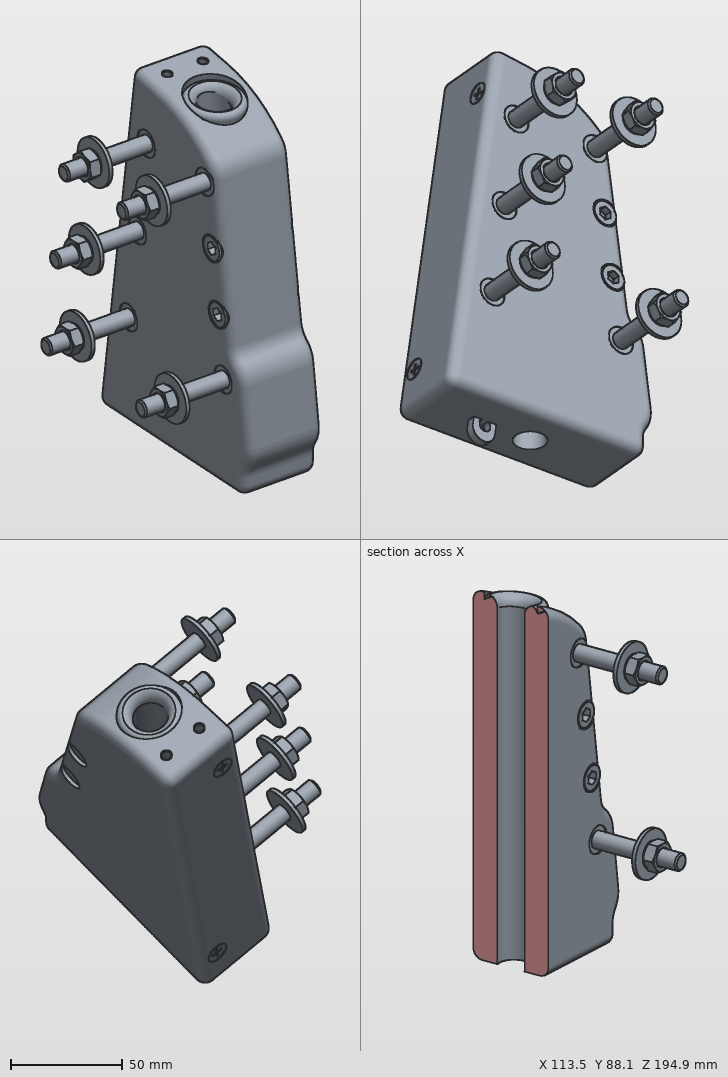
import cadquery as cq
import math

LEAN = 8.0
DEPTH = 41.9
MID_Y = DEPTH / 2
EDGE_RADIUS = 5.0

LEFT_FOOT_X = -0.8
RIGHT_FOOT_X = 109.0
UPPER_WALL_FOOT_X = 110.5
CROWN_START = (43.2, 182.0)
CROWN_RADIUS = 75.0
SHOULDER_RADIUS = 13.6
BULGE_RADIUS = 15.0
BLEND_RADIUS = 10.0
LOWER_BULGE_CENTER = (98.5, 24.2)

BOLT_OFFSET = 16.2
BOLT_BOTTOM_Z = 54.7
BOLT_PITCH = 47.5
BOLT_TOP_Z = BOLT_BOTTOM_Z + 2 * BOLT_PITCH
UPPER_RIGHT_BOLT_X = 80.3
LOWER_RIGHT_BOLT_X = 94.5
BOLT_DIAMETER = 8.4
BOLT_REACH = 46.2
BOLT_ROOT = 5.0
BOLT_TIP_CHAMFER = 0.8
BOLT_RECESS_DIAMETER = 13.5
BOLT_RECESS_DEPTH = 0.5
WASHER_DIAMETER = 24.0
WASHER_FRONT = 29.5
WASHER_THICKNESS = 2.0
NUT_FLATS = 13.0
NUT_HEIGHT = 6.5
NUT_SEAT_HEIGHT = 0.5
NUT_BORE_DIAMETER = 9.4
NUT_BORE_DEPTH = 0.5
TURNED_NUT_ANGLE = 40.0

SOCKET_SCREWS = [(85.7, 118.0), (90.2, 86.1)]
SOCKET_HEAD_DIAMETER = 13.5
SOCKET_HEAD_LENGTH = 7.8
SOCKET_HEAD_CHAMFER = 0.8
SOCKET_FLATS = 5.8
SOCKET_DEPTH = 3.9
SCREW_END_DEPTH = 2.0

CROSS_SCREWS = [(10.5, 163.2, 10.0), (31.5, 22.4, 0.0)]
CROSS_HEAD_DIAMETER = 10.5
CROSS_HEAD_RECESS = 0.4
CROSS_LENGTH = 5.5
CROSS_WIDTH = 1.0
CROSS_DEPTH = 2.0

TOP_HOLE_X = 37.5
TOP_HOLE_SPACING = 19.9
TOP_HOLE_DIAMETER = 4.0
TOP_HOLE_MOUTH = 5.0
TOP_HOLE_DEPTH = 9.7

COLLAR_X = 60.2
COLLAR_Z = 177.7
COLLAR_DIAMETER = 30.0
RIM_DIAMETER = 24.0
COLLAR_SEAT = 11.7
FUNNEL_DEPTH = 5.8
PASSAGE_X = 59.2
PASSAGE_DIAMETER = 15.8

TAB_CENTER = (32.0, -4.9)
TAB_WIDTH = 12.3
TAB_THICKNESS = 4.3
TAB_ROOT = 9.7
TAB_HOLE_CENTER = (32.5, -2.5)
TAB_HOLE_DIAMETER = 6.0

SIN = math.sin(math.radians(LEAN))
COS = math.cos(math.radians(LEAN))
TAN = SIN / COS


def left_wall_x(z):
    return LEFT_FOOT_X + z * TAN


def polar(center, radius, degrees):
    angle = math.radians(degrees)
    return (center[0] + radius * math.cos(angle), center[1] + radius * math.sin(angle))


def front_cylinder(x, z, diameter, y_front, y_back):
    """Cylinder along Y between two Y positions."""
    length = y_back - y_front
    plane = cq.Plane(origin=(x, y_back, z), xDir=(1, 0, 0), normal=(0, -1, 0))
    return cq.Workplane(plane).circle(diameter / 2).extrude(length)


CROWN_CENTER = (CROWN_START[0] - CROWN_RADIUS * SIN, CROWN_START[1] - CROWN_RADIUS * COS)
CROWN_WALL_DISTANCE = (UPPER_WALL_FOOT_X - CROWN_CENTER[0]) * COS - CROWN_CENTER[1] * SIN
CROWN_END_ANGLE = LEAN + math.degrees(math.acos(CROWN_WALL_DISTANCE / CROWN_RADIUS))
CROWN_END = polar(CROWN_CENTER, CROWN_RADIUS, CROWN_END_ANGLE)


def housing_outline():
    """Closed outline in XZ, counter-clockwise from the lower left corner."""
    lower_bulge = LOWER_BULGE_CENTER
    upper_bulge = (LOWER_RIGHT_BOLT_X, BOLT_BOTTOM_Z)
    reach = BULGE_RADIUS + BLEND_RADIUS

    lower_blend_x = RIGHT_FOOT_X + BLEND_RADIUS
    lower_turn = math.degrees(math.acos((lower_blend_x - lower_bulge[0]) / reach))
    lower_blend = polar(lower_bulge, reach, -lower_turn)

    wall_distance = (UPPER_WALL_FOOT_X - upper_bulge[0]) * COS - upper_bulge[1] * SIN
    upper_turn = math.degrees(math.acos((wall_distance + BLEND_RADIUS) / reach))
    upper_blend = polar(upper_bulge, reach, LEAN + upper_turn)

    crown_mid_angle = (90 - LEAN + CROWN_END_ANGLE) / 2

    corner_z = (CROWN_START[1] + (CROWN_START[0] - LEFT_FOOT_X) * TAN) / (1 + TAN * TAN)

    return (
        cq.Workplane("XZ")
        .moveTo(LEFT_FOOT_X, 0)
        .lineTo(RIGHT_FOOT_X, 0)
        .lineTo(RIGHT_FOOT_X, lower_blend[1])
        .threePointArc(
            polar(lower_blend, BLEND_RADIUS, 180 - lower_turn / 2),
            polar(lower_blend, BLEND_RADIUS, 180 - lower_turn),
        )
        .threePointArc(
            polar(lower_bulge, BULGE_RADIUS, 0),
            polar(lower_bulge, BULGE_RADIUS, LEAN),
        )
        .lineTo(*polar(upper_bulge, BULGE_RADIUS, LEAN))
        .threePointArc(
            polar(upper_bulge, BULGE_RADIUS, LEAN + upper_turn / 2),
            polar(upper_bulge, BULGE_RADIUS, LEAN + upper_turn),
        )
        .threePointArc(
            polar(upper_blend, BLEND_RADIUS, 180 + LEAN + upper_turn / 2),
            polar(upper_blend, BLEND_RADIUS, 180 + LEAN),
        )
        .lineTo(*CROWN_END)
        .threePointArc(polar(CROWN_CENTER, CROWN_RADIUS, crown_mid_angle), CROWN_START)
        .lineTo(left_wall_x(corner_z), corner_z)
        .close()
    )


def make_housing():
    body = housing_outline().extrude(-DEPTH)
    shoulder = cq.NearestToPointSelector((CROWN_END[0], MID_Y, CROWN_END[1]))
    body = body.edges("|Y").edges(shoulder).fillet(SHOULDER_RADIUS)
    body = body.edges("|Y").edges("<Z or <X or >Z").fillet(EDGE_RADIUS)
    return body.faces("<Y or >Y").edges().fillet(EDGE_RADIUS)


def make_nut(x, z, turn):
    """Hexagon nut on a round seat, with its corners chamfered at both ends."""
    tip = -WASHER_FRONT - NUT_HEIGHT
    corners = NUT_FLATS / math.cos(math.pi / 6)
    corner_cut = (corners - NUT_FLATS) / 2
    seat = front_cylinder(x, z, NUT_FLATS, -WASHER_FRONT - NUT_SEAT_HEIGHT, -WASHER_FRONT)
    rounded = front_cylinder(x, z, corners, tip, -WASHER_FRONT - NUT_SEAT_HEIGHT)
    rounded = rounded.edges().chamfer(corner_cut / 2, corner_cut)
    plane = cq.Plane(origin=(x, -WASHER_FRONT, z), xDir=(1, 0, 0), normal=(0, -1, 0))
    hexagon = cq.Workplane(plane).transformed(rotate=(0, 0, turn)).polygon(6, corners)
    hexagon = hexagon.extrude(NUT_HEIGHT)
    bore = front_cylinder(x, z, NUT_BORE_DIAMETER, tip, tip + NUT_BORE_DEPTH)
    return hexagon.intersect(rounded).union(seat).cut(bore)


def add_bolt(body, x, z, turn):
    body = body.cut(front_cylinder(x, z, BOLT_RECESS_DIAMETER, 0, BOLT_RECESS_DEPTH))
    shank = front_cylinder(x, z, BOLT_DIAMETER, -BOLT_REACH, BOLT_ROOT)
    shank = shank.faces("<Y").chamfer(BOLT_TIP_CHAMFER)
    washer = front_cylinder(x, z, WASHER_DIAMETER, -WASHER_FRONT, WASHER_THICKNESS - WASHER_FRONT)
    return body.union(make_nut(x, z, turn).union(washer).union(shank))


def add_socket_screw(body, x, z):
    """Flush screw head with a chamfered rim and a hexagon socket that ends in a drill point."""
    clearance = front_cylinder(x, z, SOCKET_HEAD_DIAMETER, 0, SOCKET_HEAD_CHAMFER)
    head = front_cylinder(x, z, SOCKET_HEAD_DIAMETER, 0, SOCKET_HEAD_LENGTH)
    head = head.faces("<Y").chamfer(SOCKET_HEAD_CHAMFER)
    plane = cq.Plane(origin=(x, 0, z), xDir=(0, 0, 1), normal=(0, 1, 0))
    corners = SOCKET_FLATS / math.cos(math.pi / 6)
    socket = cq.Workplane(plane).polygon(6, corners).extrude(SOCKET_DEPTH)
    point = cq.Solid.makeCone(SOCKET_FLATS / 2, 0, SOCKET_FLATS / 4, cq.Vector(x, SOCKET_DEPTH, z),
                              cq.Vector(0, 1, 0))
    end_recess = front_cylinder(x, z, SOCKET_HEAD_DIAMETER, DEPTH - SCREW_END_DEPTH, DEPTH)
    return body.cut(clearance).union(head).cut(end_recess).cut(socket).cut(cq.Workplane(point))


def cut_cross_screw(body, y, z, turn):
    """Shallow round head seat in the left wall with a cross recess."""
    plane = cq.Plane(origin=(left_wall_x(z), y, z), xDir=(0, 1, 0), normal=(COS, 0, -SIN))
    face = cq.Workplane(plane).transformed(rotate=(0, 0, turn))
    seat = face.circle(CROSS_HEAD_DIAMETER / 2).extrude(CROSS_HEAD_RECESS)
    bar = face.rect(CROSS_LENGTH, CROSS_WIDTH).extrude(CROSS_DEPTH)
    cross_bar = face.rect(CROSS_WIDTH, CROSS_LENGTH).extrude(CROSS_DEPTH)
    return body.cut(seat).cut(bar).cut(cross_bar)


def leaning_plane(x, y, z):
    """Plane square to the left wall's lean, normal pointing up."""
    return cq.Plane(origin=(x, y, z), xDir=(COS, 0, -SIN), normal=(SIN, 0, COS))


def cut_top_hole(body, y):
    z = CROWN_START[1] + (CROWN_START[0] - TOP_HOLE_X) * TAN
    face = cq.Workplane(leaning_plane(TOP_HOLE_X, y, z))
    hole = face.circle(TOP_HOLE_DIAMETER / 2).extrude(-TOP_HOLE_DEPTH)
    mouth_depth = (TOP_HOLE_MOUTH - TOP_HOLE_DIAMETER) / 2
    mouth = face.circle(TOP_HOLE_MOUTH / 2).extrude(-mouth_depth)
    return body.cut(hole).cut(mouth)


def add_collar(body):
    """Rounded collar with a flared mouth above a vertical passage."""
    rim = RIM_DIAMETER / 2
    rounding = COLLAR_DIAMETER / 2 - rim
    face = cq.Workplane(leaning_plane(COLLAR_X, MID_Y, COLLAR_Z))
    collar = face.circle(COLLAR_DIAMETER / 2).extrude(-COLLAR_SEAT)
    collar_top = cq.selectors.DirectionMinMaxSelector(cq.Vector(SIN, 0, COS))
    collar = collar.faces(collar_top).edges().fillet(rounding)
    throat = PASSAGE_DIAMETER / 2
    passage = cq.Workplane("XY").center(PASSAGE_X, MID_Y).circle(throat).extrude(COLLAR_Z + COLLAR_SEAT)
    flare_width = rim - throat
    flare_radius = (flare_width**2 + FUNNEL_DEPTH**2) / (2 * flare_width)
    section = cq.Plane(origin=(COLLAR_X, MID_Y, COLLAR_Z), xDir=(COS, 0, -SIN), normal=(0, -1, 0))
    flare = (
        cq.Workplane(section)
        .lineTo(rim, 0)
        .radiusArc((throat, -FUNNEL_DEPTH), -flare_radius)
        .lineTo(0, -FUNNEL_DEPTH)
        .close()
        .revolve(360, (0, 0), (0, 1))
    )
    seat = face.workplane(offset=-rounding).circle(COLLAR_DIAMETER / 2).extrude(COLLAR_SEAT)
    return body.cut(seat).union(collar).cut(flare).cut(passage)


def make_tab():
    """Round-ended tab that leans like the left wall."""
    y_front = MID_Y - TAB_THICKNESS / 2
    y_back = MID_Y + TAB_THICKNESS / 2
    end = front_cylinder(*TAB_CENTER, TAB_WIDTH, y_front, y_back)
    root_length = TAB_ROOT - TAB_CENTER[1]
    root = (
        cq.Workplane(leaning_plane(TAB_CENTER[0], MID_Y, TAB_CENTER[1]))
        .rect(TAB_WIDTH, TAB_THICKNESS)
        .extrude(root_length)
    )
    hole = front_cylinder(*TAB_HOLE_CENTER, TAB_HOLE_DIAMETER, y_front, y_back)
    return end.union(root).cut(hole)


result = make_housing().union(make_tab())
result = add_collar(result)
for side in (-1, 1):
    result = cut_top_hole(result, MID_Y + side * TOP_HOLE_SPACING / 2)
for y, z, turn in CROSS_SCREWS:
    result = cut_cross_screw(result, y, z, turn)
for x, z in SOCKET_SCREWS:
    result = add_socket_screw(result, x, z)
for step in range(3):
    z = BOLT_BOTTOM_Z + step * BOLT_PITCH
    turn = TURNED_NUT_ANGLE if step == 2 else 0
    result = add_bolt(result, left_wall_x(z) + BOLT_OFFSET, z, turn)
result = add_bolt(result, UPPER_RIGHT_BOLT_X, BOLT_TOP_Z, 0)
result = add_bolt(result, LOWER_RIGHT_BOLT_X, BOLT_BOTTOM_Z, 0)